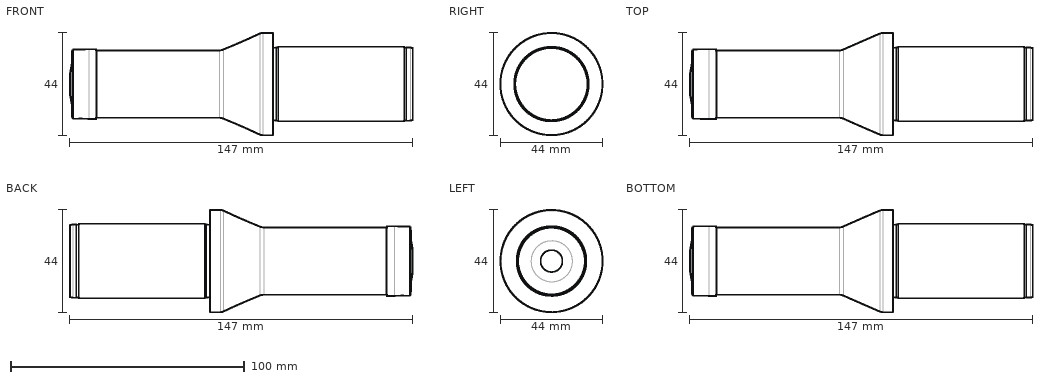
import cadquery as cq
import math

total_length = 147.0

head_back = 11.2
head_radius = 15.0
head_land_start = 8.1
head_front_radius = 29.8 / 2
head_corner_x = 1.5
face_edge_radius = 14.3
face_edge_x = 0.9
face_ring_radius = 8.8
face_ring_x = 0.7
dimple_radius = 4.7
dimple_depth = 0.9

nose_radius = 29.0 / 2
nose_edge_chamfer = 0.3
cone_blend_start = 64.0
cone_blend_end = 65.7

flange_radius = 44.0 / 2
flange_edge_blend_start = 81.3
flange_edge_blend_end = 82.6
flange_edge_blend_drop = 0.3
flange_back = 87.0
flange_back_chamfer = 0.1

relief_radius = 31.5 / 2
relief_groove_width = 1.5
relief_groove_depth = 0.1
shank_start = 89.2

shank_radius = 32.0 / 2
shank_end = 143.2
end_step_radius = 31.5 / 2
end_groove_width = 1.0
end_groove_depth = 0.1
end_taper_start = 145.8
end_taper_drop = 0.3


def revolve_about_x(profile):
    """Turn a closed (x, radius) profile fully around the X axis."""
    return profile.close().revolve(360, (0, 0, 0), (1, 0, 0))


def make_head():
    """Shallow pointed face with a central dimple on a slightly tapered disc."""
    profile = (
        cq.Workplane("XY")
        .moveTo(dimple_depth, 0)
        .lineTo(0, dimple_radius)
        .lineTo(face_ring_x, face_ring_radius)
        .lineTo(face_edge_x, face_edge_radius)
        .lineTo(head_corner_x, head_front_radius)
        .lineTo(head_land_start, head_radius)
        .lineTo(head_back, head_radius)
        .lineTo(head_back, 0)
    )
    return revolve_about_x(profile)


def add_nose_and_cone(profile):
    """Cylindrical nose flowing through a tangent arc into the conical flange front."""
    cone_end_radius = flange_radius - flange_edge_blend_drop
    blend_length = cone_blend_end - cone_blend_start
    cone_angle = math.atan2(cone_end_radius - nose_radius, flange_edge_blend_start - cone_blend_end)
    blend_radius = blend_length / math.sin(cone_angle)
    middle_x = cone_blend_start + blend_radius * math.sin(cone_angle / 2)
    middle_radius = nose_radius + blend_radius * (1 - math.cos(cone_angle / 2))
    end_radius = nose_radius + blend_radius * (1 - math.cos(cone_angle))
    return (
        profile.lineTo(head_back, nose_radius - nose_edge_chamfer)
        .lineTo(head_back + nose_edge_chamfer, nose_radius)
        .lineTo(cone_blend_start, nose_radius)
        .threePointArc((middle_x, middle_radius), (cone_blend_end, end_radius))
        .lineTo(flange_edge_blend_start, cone_end_radius)
    )


def add_flange_and_relief(profile):
    """Flange rim with softened edges, then the grooved neck behind it."""
    groove_end = flange_back + relief_groove_width
    groove_middle = flange_back + relief_groove_width / 2
    return (
        profile.tangentArcPoint((flange_edge_blend_end, flange_radius), relative=False)
        .lineTo(flange_back - flange_back_chamfer, flange_radius)
        .lineTo(flange_back, flange_radius - flange_back_chamfer)
        .lineTo(flange_back, relief_radius)
        .threePointArc((groove_middle, relief_radius - relief_groove_depth), (groove_end, relief_radius))
        .lineTo(shank_start, relief_radius)
    )


def add_shank(profile):
    """Plain shank ending in a small grooved step with a tapered rim."""
    groove_end = shank_end + end_groove_width
    groove_middle = shank_end + end_groove_width / 2
    return (
        profile.lineTo(shank_start, shank_radius)
        .lineTo(shank_end, shank_radius)
        .lineTo(shank_end, end_step_radius)
        .threePointArc((groove_middle, end_step_radius - end_groove_depth), (groove_end, end_step_radius))
        .lineTo(end_taper_start, end_step_radius)
        .lineTo(total_length, end_step_radius - end_taper_drop)
        .lineTo(total_length, 0)
    )


def make_holder():
    profile = cq.Workplane("XY").moveTo(head_back, 0)
    profile = add_nose_and_cone(profile)
    profile = add_flange_and_relief(profile)
    profile = add_shank(profile)
    return revolve_about_x(profile)


head = make_head()
holder = make_holder()
result = cq.Compound.makeCompound([head.val(), holder.val()])